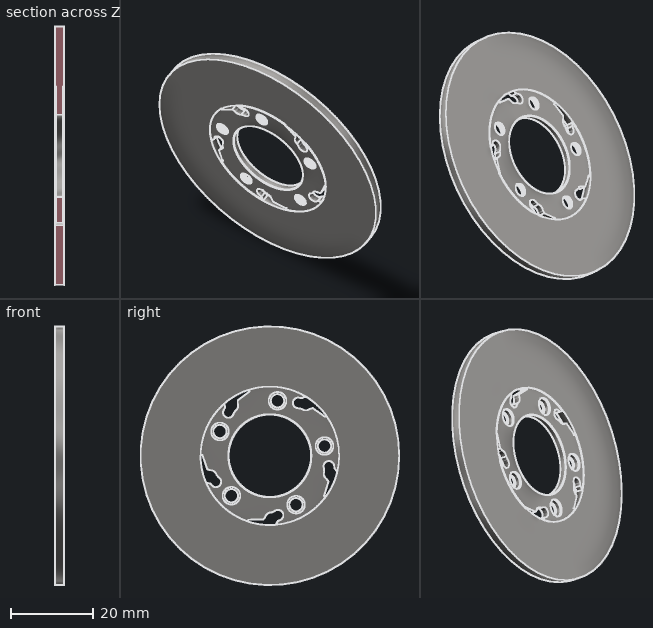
import cadquery as cq

outer_diameter = 63.0
ring_thickness = 2.2
hub_diameter = 33.7
hub_recess = 0.2
hub_thickness = ring_thickness - 2 * hub_recess

bore_diameter = 20.0
bore_chamfer = 0.15

opening_count = 5
opening_pitch = 360.0 / opening_count
hole_diameter = 3.2
hole_lip = 0.5
countersink_depth = 0.85
head_diameter = 4.3
hole_circle_radius = 13.5
first_window_angle = 28.1
first_hole_angle = first_window_angle + opening_pitch / 2

tip = (3.05, 16.15)
shoulder = (-0.58, 15.6)
belly_start = (-0.95, 14.9)
belly_middle = (-1.28, 14.15)
belly_end = (-2.3, 13.62)
lobe_start = (-3.0, 13.2)
lobe_middle = (-4.67, 13.0)
lobe_end = (-4.85, 14.95)
neck = (-4.1, 15.45)
heel = (-3.65, 16.48)
outline_margin = 1.0
window_top = hub_diameter / 2 + outline_margin


def disc(diameter, thickness):
    """Solid disc centred on the origin with its axis along X."""
    return cq.Workplane("YZ", origin=(-thickness / 2, 0, 0)).circle(diameter / 2).extrude(thickness)


def window():
    """Crescent with a round lobe, bounded outside by the hub circle."""
    outline = (
        cq.Workplane("YZ", origin=(-ring_thickness / 2, 0, 0))
        .moveTo(*tip)
        .lineTo(*shoulder)
        .lineTo(*belly_start)
        .threePointArc(belly_middle, belly_end)
        .lineTo(*lobe_start)
        .threePointArc(lobe_middle, lobe_end)
        .lineTo(*neck)
        .lineTo(*heel)
        .lineTo(heel[0], window_top)
        .lineTo(tip[0], window_top)
        .close()
    )
    cutter = outline.extrude(ring_thickness)
    return cutter.intersect(disc(hub_diameter, ring_thickness))


def hole():
    """Hole on the hole circle along +Z, with a sunk screw seat open to +X."""
    hub_face = -hub_thickness / 2
    seat_start = hub_face + hole_lip
    seat_end = seat_start + countersink_depth
    hole_radius = hole_diameter / 2
    head_radius = head_diameter / 2
    half_section = (
        cq.Workplane("XY")
        .moveTo(hub_face, 0)
        .lineTo(hub_face, hole_radius)
        .lineTo(seat_start, hole_radius)
        .lineTo(seat_end, head_radius)
        .lineTo(hub_thickness / 2, head_radius)
        .lineTo(hub_thickness / 2, 0)
        .close()
    )
    tool = half_section.revolve(360, (0, 0, 0), (1, 0, 0))
    return tool.translate((0, 0, hole_circle_radius))


def about_axis(tool, angle):
    """Turn a cutter about the disc axis."""
    return tool.rotate((0, 0, 0), (1, 0, 0), angle)


def hub():
    """Thin hub with its chamfered bore."""
    bored = disc(hub_diameter, hub_thickness).cut(disc(bore_diameter, ring_thickness))
    bore_edges = cq.selectors.RadiusNthSelector(0)
    return bored.edges(bore_edges).chamfer(bore_chamfer)


outer_ring = disc(outer_diameter, ring_thickness).cut(disc(hub_diameter, ring_thickness))
result = outer_ring.union(hub())

for index in range(opening_count):
    turn = index * opening_pitch
    result = result.cut(about_axis(window(), first_window_angle + turn))
    result = result.cut(about_axis(hole(), first_hole_angle + turn))